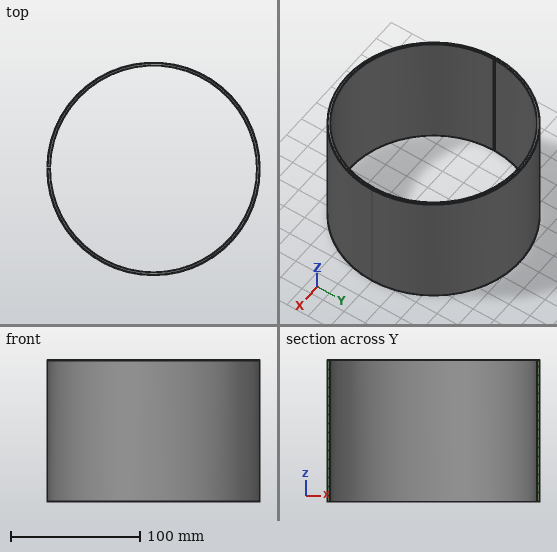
import cadquery as cq

outer_diameter = 165
height = 110.0
wall = 2.5
outer_chamfer = 0.5
inner_chamfer = outer_chamfer / 2
slit_width = 1.5

outer_radius = outer_diameter / 2
inner_radius = outer_radius - wall


def chamfer_rims(body, radius_rank, size):
    """Chamfer the rims of one radius (0 = smallest, -1 = largest) at both ends."""
    rims = cq.selectors.RadiusNthSelector(radius_rank)
    return body.faces("<Z or >Z").edges(rims).chamfer(size)


tube = cq.Workplane("XY").circle(outer_radius).circle(inner_radius).extrude(height)
tube = chamfer_rims(tube, -1, outer_chamfer)
tube = chamfer_rims(tube, 0, inner_chamfer)

slit = (
    cq.Workplane("XY")
    .box(outer_radius, slit_width, height, centered=False)
    .translate((-outer_radius, 0, 0))
)

result = tube.cut(slit)